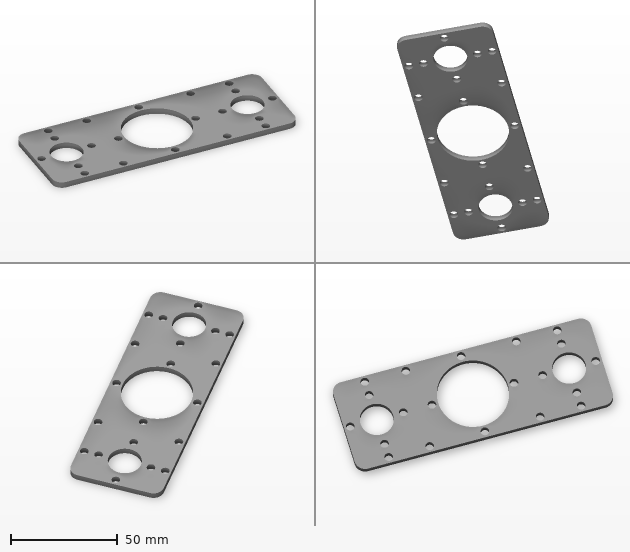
import cadquery as cq

length = 126.0
width = 46.0
thickness = 3.0
corner_radius = 5.0

center_bore_diameter = 34.0
end_bore_diameter = 16.0
end_bore_offset = 47.0

screw_diameter = 4.0
end_screw_radius = 13.0
center_screw_radius = 20.0
edge_row_x = center_screw_radius
middle_edge_screw_y = 27.0


def cross_points(center_y, radius):
    """Four points around (0, center_y), on the X and Y directions."""
    return [
        (radius, center_y),
        (-radius, center_y),
        (0, center_y + radius),
        (0, center_y - radius),
    ]


def drill(body, points, diameter):
    """Cut through holes at the given points of the top face."""
    return body.faces(">Z").workplane(origin=(0, 0, 0)).pushPoints(points).hole(diameter)


end_centers = [(0, -end_bore_offset), (0, end_bore_offset)]

screw_points = cross_points(0, center_screw_radius)
for _, center_y in end_centers:
    screw_points += cross_points(center_y, end_screw_radius)

for x in (-edge_row_x, edge_row_x):
    for y in (middle_edge_screw_y, end_bore_offset):
        screw_points += [(x, y), (x, -y)]

plate = cq.Workplane("XY").box(width, length, thickness).edges("|Z").fillet(corner_radius)
plate = drill(plate, [(0, 0)], center_bore_diameter)
plate = drill(plate, end_centers, end_bore_diameter)
result = drill(plate, screw_points, screw_diameter)